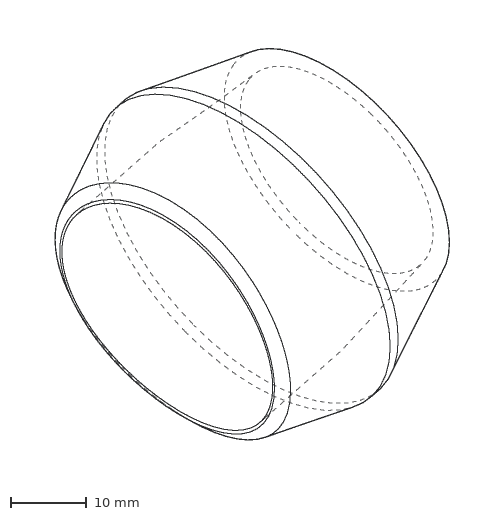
import cadquery as cq
import math

band_radius = 25.4
outlet_radius = 19.5
band_start = 17.3
band_width = 1.65
front_taper = 0.35
length_at_center = 33.45
blank_length = 36.6

pipe_radius = 174.25
half_cut = 30.5
saddle_chamfer = 1.35

bore_radius = 18.25
outlet_bore_radius = 16.65
bore_taper_length = 17.9

saddle_edge = length_at_center + pipe_radius - math.sqrt(pipe_radius**2 - half_cut**2)
cut_depth = blank_length + half_cut
band_end = band_start + band_width
blank_end_radius = band_radius - front_taper * (blank_length - band_end)


def turn(profile):
    """Revolve (radius, distance from outlet) points about the Y axis, towards -Y."""
    points = [(radius, -distance) for radius, distance in profile]
    return cq.Workplane("XY").polyline(points).close().revolve(360, (0, 0, 0), (0, 1, 0))


def saddled_body():
    blank = turn([
        (0, 0),
        (outlet_radius, 0),
        (band_radius, band_start),
        (band_radius, band_end),
        (blank_end_radius, blank_length),
        (0, blank_length),
    ])
    run_pipe = (
        cq.Workplane("XY")
        .moveTo(-half_cut, -saddle_edge)
        .threePointArc((0, -length_at_center), (half_cut, -saddle_edge))
        .lineTo(half_cut, -cut_depth)
        .lineTo(-half_cut, -cut_depth)
        .close()
        .extrude(half_cut, both=True)
    )
    return blank.cut(run_pipe).faces("<Y").edges().chamfer(saddle_chamfer)


def bore():
    return turn([
        (0, 0),
        (outlet_bore_radius, 0),
        (bore_radius, bore_taper_length),
        (bore_radius, blank_length),
        (0, blank_length),
    ])


result = saddled_body().cut(bore())